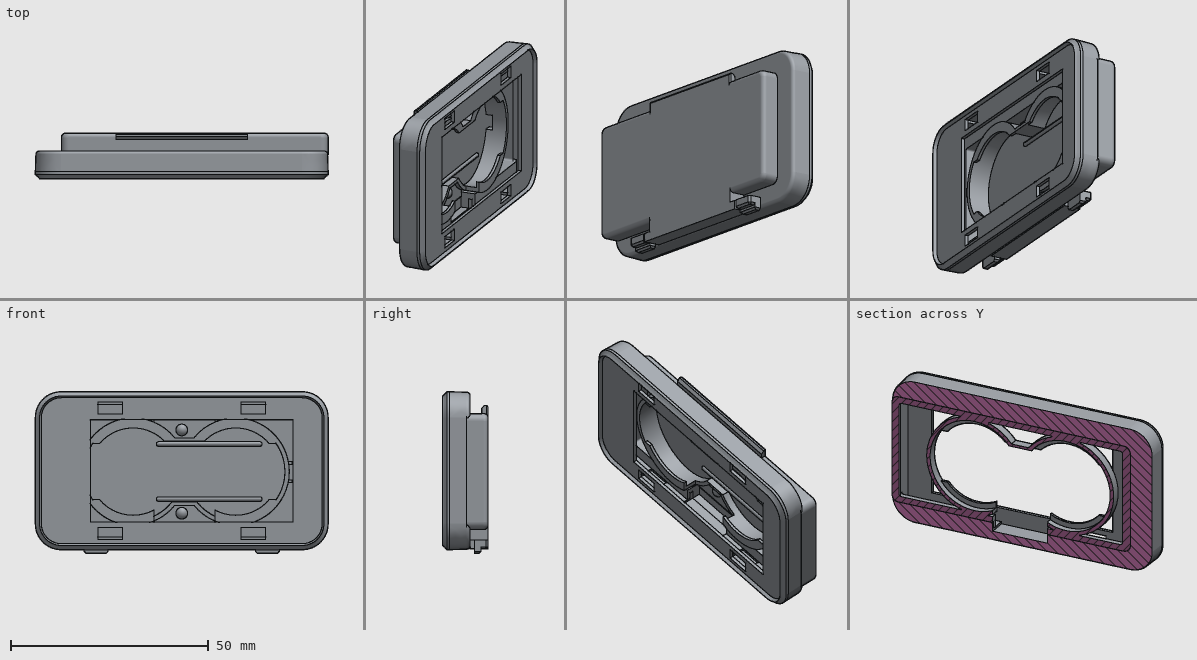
import cadquery as cq
import math


case_width = 74.05
case_height = 40.0
case_corner_radius = 6.6
overall_depth = 11.55
well_axis_z = -0.2

bezel_depth = 1.85
edge_steps = [(1.1, 0.0), (0.5, 0.7), (0.0, 1.1)]
panel_y = 0.95
panel_inset = 1.55
opening_left = -23.1
opening_right = 28.05
opening_height = 25.9
window_spacing = 36.2
window_width = 6.15
window_inner = 14.4
window_outer = 17.4

frame_back = 7.0
frame_draft = 2.0
frame_back_fillet = 0.9
frame_wall_x = 2.2
frame_cavity_height = 33.5
frame_back_wall = 0.9

box_left = -30.4
box_height = 29.3
box_corner_radius = 1.9
box_back_fillet = 1.1
box_wall_left = 2.2
cavity_height = 26.05
cavity_corner_radius = 0.5
rim_y = 5.25
floor_y = 9.8

well_centre_x = 0.7
well_spacing = 25.9
well_outer_radius = 13.55
well_bore_radius = 12.45
lip_radius = 11.0
lip_front = 4.2
lip_thickness = 0.75
lip_gap_half_height = 7.1
bridge_outer_half_height = 8.5
bridge_inner_half_height = 7.7

channel_left = -7.0
channel_right = 8.4
channel_bottom = -17.3
channel_step_z = -14.45
channel_back = 9.2
bridge_wall_front = 7.85

slot_bottom = -2.3
slot_top = 1.6
slot_front = 8.1
slot_rib = 0.75
slot_end = 27.9

pad_front = 9.0
bar_left = -6.45
bar_right = 20.3
bar_radius = 0.6
bar_offset_z = 6.95
dome_radius = 1.5
dome_height = 0.9
dome_offset_z = 10.5

tab_width = 33.3
tab_front = 9.9
tab_top = 16.5
tab_front_chamfer = 0.75
tab_back_chamfer = 0.4
skirt_width = 33.3
rail_top = -17.55
rail_bottom = -19.8
hook_spacing = 43.3
hook_width = 6.15
hook_front = 8.1
hook_back = 9.8
hook_tip = -20.9
hook_chamfer = 0.5

half_width = case_width / 2
box_right = half_width
frame_cavity_right = half_width - frame_wall_x
cavity_left = box_left + box_wall_left
cavity_right = frame_cavity_right
flange_back = frame_back - frame_back_wall
box_bottom = well_axis_z - box_height / 2
well_centres = [well_centre_x - well_spacing / 2, well_centre_x + well_spacing / 2]
well_right_x = well_centres[1] + well_bore_radius
window_centres = [-window_spacing / 2, window_spacing / 2]


def block(x_range, y_range, z_range):
    """Rectangular block between the given limits."""
    lows, highs = zip(x_range, y_range, z_range)
    sizes = [high - low for low, high in zip(lows, highs)]
    return cq.Workplane().box(*sizes, centered=False).translate(lows)


def rounded_block(x_range, y_range, z_range, radius):
    """Block whose four edges along Y are rounded."""
    return block(x_range, y_range, z_range).edges("|Y").fillet(radius)


def case_outline(y, inset):
    """Rounded outline of the case at depth y, drawn in by the inset."""
    return (
        cq.Sketch()
        .rect(case_width - 2 * inset, case_height - 2 * inset)
        .vertices()
        .fillet(case_corner_radius - inset)
        .moved(cq.Location(cq.Plane((0, y, 0), (1, 0, 0), (0, -1, 0))))
    )


def case_layer(y_front, inset_front, y_back, inset_back):
    """Layer of the case whose outline changes evenly between two insets."""
    return cq.Workplane().placeSketch(
        case_outline(y_front, inset_front), case_outline(y_back, inset_back)
    ).loft()


def well_shape(radius, bridge_half_height, y_front, y_back):
    """Two round wells joined by a straight bridge between their centres."""
    shape = block(
        well_centres,
        (y_front, y_back),
        (well_axis_z - bridge_half_height, well_axis_z + bridge_half_height),
    )
    for x in well_centres:
        disc = (
            cq.Workplane("XZ", origin=(x, y_front, well_axis_z))
            .circle(radius)
            .extrude(y_front - y_back)
        )
        shape = shape.union(disc)
    return shape


def window_cuts(y_front, y_back, z_outer):
    """The four window pockets, as far as z_outer from the middle plane."""
    cuts = cq.Workplane()
    for x in window_centres:
        x_range = (x - window_width / 2, x + window_width / 2)
        cuts = cuts.add(block(x_range, (y_front, y_back), (window_inner, z_outer)))
        cuts = cuts.add(block(x_range, (y_front, y_back), (-z_outer, -window_inner)))
    return cuts.combine()


def make_bezel():
    body = case_layer(edge_steps[0][0], edge_steps[0][1], bezel_depth, 0)
    for (y_back, inset_back), (y_front, inset_front) in zip(edge_steps, edge_steps[1:]):
        body = body.union(case_layer(y_front, inset_front, y_back, inset_back))
    sunk_front = case_layer(0, edge_steps[-1][1], panel_y, panel_inset)
    opening = block(
        (opening_left, opening_right), (0, bezel_depth), (-opening_height / 2, opening_height / 2)
    )
    body = body.cut(sunk_front).cut(opening)
    return body.cut(window_cuts(0, bezel_depth, window_outer))


def frame_cavity(y_front, y_back):
    """Slice of the space inside the frame."""
    half_height = frame_cavity_height / 2
    return block(
        (-frame_cavity_right, frame_cavity_right), (y_front, y_back), (-half_height, half_height)
    )


def make_frame():
    draft_inset = (frame_back - bezel_depth) * math.tan(math.radians(frame_draft))
    body = case_layer(bezel_depth, 0, frame_back, draft_inset)
    body = body.faces(">Y").edges().fillet(frame_back_fillet)
    body = body.cut(frame_cavity(bezel_depth, flange_back)).cut(tub_box())
    body = body.cut(window_cuts(bezel_depth, rim_y, window_outer))
    return body.cut(wire_channel())


def tub_box():
    """Box that stands out through the back wall of the frame."""
    body = rounded_block(
        (box_left, box_right),
        (flange_back, overall_depth),
        (box_bottom, box_bottom + box_height),
        box_corner_radius,
    )
    return body.faces(">Y").edges().fillet(box_back_fillet)


def tub_cavity():
    return rounded_block(
        (cavity_left, cavity_right),
        (rim_y, floor_y),
        (well_axis_z - cavity_height / 2, well_axis_z + cavity_height / 2),
        cavity_corner_radius,
    )


def well_wall():
    """Wall around both wells, with the retaining lip along its front edge."""
    lip_back = lip_front + lip_thickness
    wall = well_shape(well_outer_radius, bridge_outer_half_height, lip_front, floor_y)
    bore = well_shape(well_bore_radius, bridge_inner_half_height, lip_back, floor_y)
    mouth = well_shape(lip_radius, bridge_inner_half_height, lip_front, lip_back)
    end_gaps = block(
        (well_centres[0] - well_bore_radius, well_right_x),
        (lip_front, lip_back),
        (well_axis_z - lip_gap_half_height, well_axis_z + lip_gap_half_height),
    ).intersect(well_shape(well_bore_radius, bridge_inner_half_height, lip_front, lip_back))
    return wall.cut(bore).cut(mouth).cut(end_gaps)


def wire_channel():
    """Channel that lowers the well wall and passes through the lower cavity wall."""
    x_range = (channel_left, channel_right)
    lowered = block(x_range, (bezel_depth, bridge_wall_front), (channel_bottom, well_axis_z))
    outlet = block(x_range, (bezel_depth, channel_back), (channel_bottom, channel_step_z))
    passage = block(x_range, (bezel_depth, floor_y), (channel_step_z, box_bottom + box_height / 2))
    wall_space = well_shape(well_outer_radius, bridge_outer_half_height, bezel_depth, floor_y)
    return lowered.union(outlet).union(passage.cut(wall_space))


def contact_slot():
    return block((well_centre_x, slot_end), (slot_front, floor_y), (slot_bottom, slot_top))


def contact_ribs():
    """Two low ribs outside the well wall, above and below the contact slot."""
    ribs = cq.Workplane()
    for z in (slot_bottom - slot_rib, slot_top):
        ribs = ribs.add(
            block((well_right_x, slot_end), (slot_front, floor_y), (z, z + slot_rib))
        )
    return ribs.combine()


def floor_bar(z):
    """Half-round bar with rounded ends, half sunk in the floor."""
    tilt = bar_radius * math.sqrt(0.5)
    straight_left = bar_left + bar_radius
    straight_right = bar_right - bar_radius
    return (
        cq.Workplane(origin=(0, floor_y, z))
        .moveTo(bar_left, 0)
        .threePointArc((straight_left - tilt, tilt), (straight_left, bar_radius))
        .lineTo(straight_right, bar_radius)
        .threePointArc((straight_right + tilt, tilt), (bar_right, 0))
        .close()
        .revolve(360, (0, 0), (1, 0))
    )


def floor_pads():
    """Raised parts of the floor outside the well wall, above and below the bridge."""
    half_height = well_axis_z - channel_step_z
    pads = block(
        (channel_left, channel_right),
        (pad_front, floor_y),
        (well_axis_z - half_height, well_axis_z + half_height),
    )
    return pads.cut(
        well_shape(well_outer_radius, bridge_outer_half_height, pad_front, floor_y)
    )


def floor_dome(z):
    """Domed boss on a floor pad, the cap of a larger sphere."""
    sphere_radius = (dome_radius**2 + dome_height**2) / (2 * dome_height)
    half_angle = math.asin(dome_radius / sphere_radius) / 2
    arc_middle = (
        sphere_radius * math.sin(half_angle),
        sphere_radius * (1 - math.cos(half_angle)) - dome_height,
    )
    return (
        cq.Workplane(origin=(0, pad_front, z))
        .moveTo(0, -dome_height)
        .threePointArc(arc_middle, (dome_radius, 0))
        .lineTo(0, 0)
        .close()
        .revolve(360, (0, 0), (0, 1))
    )


def make_tab():
    """Tab that carries the back wall past the top of the tub."""
    x_range = (-tab_width / 2, tab_width / 2)
    tab = block(x_range, (tab_front, overall_depth), (well_axis_z, tab_top))
    tab = tab.faces(">Y").edges("|Z").chamfer(tab_back_chamfer)
    tab = tab.faces(">Z").edges("<Y").chamfer(tab_front_chamfer)
    return tab.faces(">Z").edges(">Y").chamfer(tab_back_chamfer)


def make_hook(x):
    """Chamfered end block of the rail with a tooth pointing down."""
    x_range = (x - hook_width / 2, x + hook_width / 2)
    base = block(x_range, (hook_front, overall_depth), (rail_bottom, rail_top))
    base = base.faces(">Y").edges("|Z").chamfer(hook_chamfer)
    base = base.faces("<Z").edges("not <Y").chamfer(hook_chamfer)
    tooth = block(x_range, (hook_front, hook_back), (hook_tip, rail_top))
    tooth = tooth.faces("<Z").edges("not <Y").chamfer(hook_chamfer)
    return base.union(tooth)


def make_foot():
    """Skirt under the tub, ending in a rail with a hook at each end."""
    y_range = (frame_back, overall_depth)
    half_rail = (hook_spacing - hook_width) / 2
    foot = block((-skirt_width / 2, skirt_width / 2), y_range, (rail_top, well_axis_z))
    foot = foot.union(block((-half_rail, half_rail), y_range, (rail_bottom, rail_top)))
    for side in (-1, 1):
        foot = foot.union(make_hook(side * hook_spacing / 2))
    return foot


def make_tub():
    flange = frame_cavity(rim_y, flange_back)
    body = tub_box().union(flange).union(make_tab()).union(make_foot()).cut(tub_cavity())
    body = body.union(well_wall()).cut(wire_channel())
    body = body.union(contact_ribs()).cut(contact_slot())
    body = body.union(floor_pads())
    for side in (-1, 1):
        body = body.union(floor_bar(well_axis_z + side * bar_offset_z))
        body = body.union(floor_dome(well_axis_z + side * dome_offset_z))
    return body


bezel = make_bezel()
frame = make_frame()
tub = make_tub()

result = cq.Compound.makeCompound([bezel.val(), frame.val(), tub.val()])